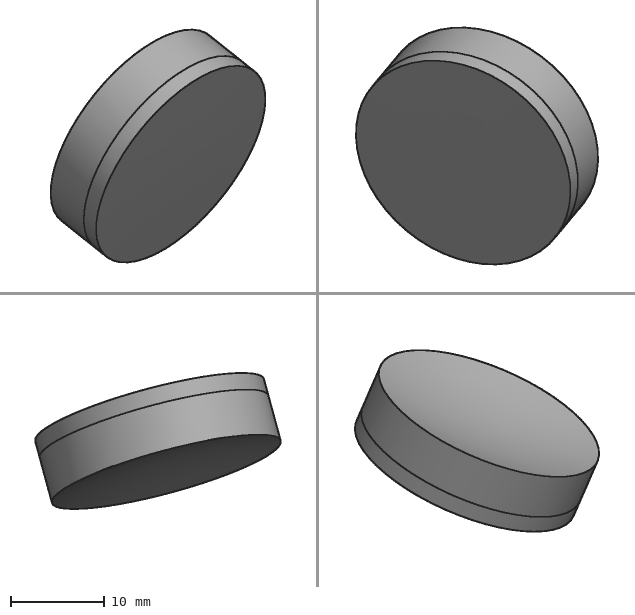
import cadquery as cq

diameter = 25.4
radius = diameter / 2
front_edge_thickness = 5.08
rear_edge_thickness = 1.88
front_sag = 1.68
rear_sag = 0.13

rear_rim_x = front_edge_thickness + rear_edge_thickness


def spherical_sag(rim_sag, height):
    """Depth below the apex, at a given height, of a sphere with this sag at the rim."""
    sphere_radius = (radius**2 + rim_sag**2) / (2 * rim_sag)
    return sphere_radius - (sphere_radius**2 - height**2) ** 0.5


def spherical_arc_middle(rim_x, rim_sag):
    """Point halfway up a spherical face that bulges toward +X from its rim."""
    height = radius / 2
    return (rim_x + rim_sag - spherical_sag(rim_sag, height), height)


def revolve_about_axis(profile):
    """Turn a half profile, drawn in XZ, about the X axis."""
    return profile.close().revolve(360, (0, 0, 0), (1, 0, 0))


def make_front_lens():
    """Plano-concave element, hollowed on its -X face."""
    profile = (
        cq.Workplane("XZ")
        .moveTo(front_sag, 0)
        .threePointArc(spherical_arc_middle(0, front_sag), (0, radius))
        .lineTo(front_edge_thickness, radius)
        .lineTo(front_edge_thickness, 0)
    )
    return revolve_about_axis(profile)


def make_rear_lens():
    """Plano-convex element, slightly domed on its +X face."""
    profile = (
        cq.Workplane("XZ")
        .moveTo(front_edge_thickness, 0)
        .lineTo(front_edge_thickness, radius)
        .lineTo(rear_rim_x, radius)
        .threePointArc(spherical_arc_middle(rear_rim_x, rear_sag), (rear_rim_x + rear_sag, 0))
    )
    return revolve_about_axis(profile)


front_lens = make_front_lens()
rear_lens = make_rear_lens()

result = cq.Compound.makeCompound([front_lens.val(), rear_lens.val()])